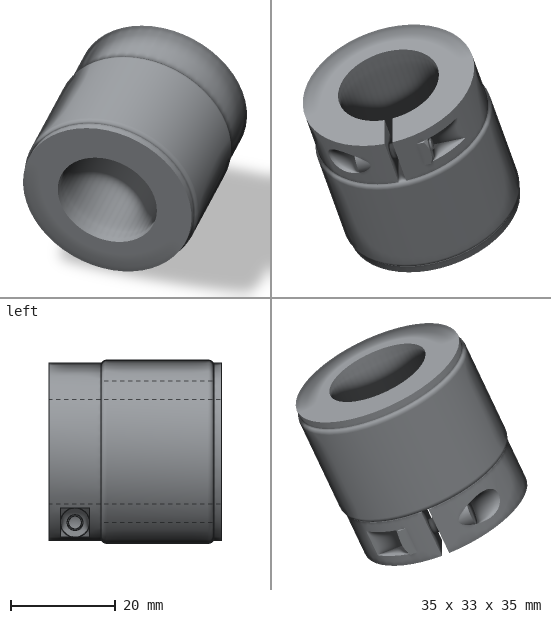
import cadquery as cq
import math

total_length = 33.0
bore_radius = 20.0 / 2
end_radius = 34.0 / 2

flange_length = 1.5
tube_radius = 26.95 / 2

collar_length = 10.0
collar_start = total_length - collar_length
slit_width = 1.5

sleeve_radius = 35 / 2
sleeve_fillet = 1.0

screw_y = collar_start + collar_length / 2
screw_z = -13.5
shank_radius = 3.0 / 2
head_radius = 5.5 / 2
seat_x = 4.5
head_height = 3.0
tip_chamfer = 0.28

nut_width = 5.5
nut_thickness = 2.5
nut_outer_x = -seat_x - nut_thickness
nut_face_radius = 5.6 / 2
nut_chamfer_angle = 30


def ring(outer_radius, inner_radius, start, end):
    """Ring around the Y axis from y = start to y = end."""
    return (
        cq.Workplane("YZ")
        .moveTo(start, inner_radius)
        .lineTo(start, outer_radius)
        .lineTo(end, outer_radius)
        .lineTo(end, inner_radius)
        .close()
        .revolve(360, (0, 0), (1, 0))
    )


def screw_section(start_x):
    """Workplane across the screw axis, with its origin on that axis and its normal along +X."""
    return cq.Workplane("YZ", origin=(start_x, screw_y, screw_z))


def make_core():
    flange = ring(end_radius, bore_radius, 0, flange_length)
    tube = ring(tube_radius, bore_radius, 0, collar_start)
    return flange.union(tube)


def make_sleeve():
    sleeve = ring(sleeve_radius, tube_radius, flange_length, collar_start)
    outer_rims = cq.selectors.RadiusNthSelector(-1)
    return sleeve.edges("%CIRCLE").edges(outer_rims).fillet(sleeve_fillet)


def make_collar():
    collar = ring(end_radius, bore_radius, collar_start, total_length)
    shank_hole = screw_section(-seat_x).circle(shank_radius).extrude(2 * seat_x)
    head_pocket = screw_section(seat_x).circle(head_radius).extrude(end_radius)
    nut_pocket = screw_section(-seat_x).rect(nut_width, nut_width).extrude(-end_radius)
    slit = (
        cq.Workplane("XZ", origin=(0, total_length, 0))
        .center(0, -end_radius / 2)
        .rect(slit_width, end_radius)
        .extrude(collar_length)
    )
    return collar.cut(shank_hole).cut(head_pocket).cut(nut_pocket).cut(slit)


def make_screw():
    tip_x = nut_outer_x - tip_chamfer
    shank = screw_section(tip_x).circle(shank_radius).extrude(seat_x - tip_x)
    shank = shank.faces("<X").chamfer(tip_chamfer)
    head = screw_section(seat_x).circle(head_radius).extrude(head_height)
    return shank.union(head)


def make_nut():
    block = screw_section(nut_outer_x).rect(nut_width, nut_width).extrude(nut_thickness)
    cone_growth = nut_thickness / math.tan(math.radians(nut_chamfer_angle))
    corner_cone = (
        screw_section(nut_outer_x)
        .circle(nut_face_radius)
        .workplane(offset=nut_thickness)
        .circle(nut_face_radius + cone_growth)
        .loft()
    )
    hole = screw_section(nut_outer_x).circle(shank_radius).extrude(nut_thickness)
    return block.intersect(corner_cone).cut(hole)


core = make_core()
sleeve = make_sleeve()
collar = make_collar()
screw = make_screw()
nut = make_nut()

result = cq.Compound.makeCompound([core.val(), sleeve.val(), collar.val(), screw.val(), nut.val()])